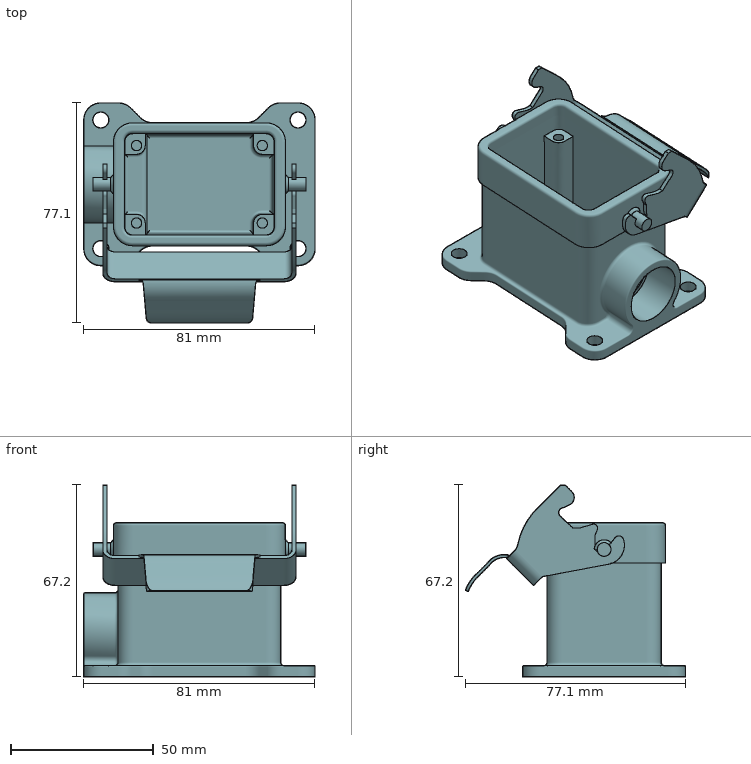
import cadquery as cq
import math

base_length = 81.0
base_width = 57.0
base_thickness = 4.0
base_corner_radius = 6.0
base_edge_radius = 0.5
waist_half_width = 21.6
ear_half_gap = 16.4
ear_curve_end = 28.4
mount_hole_x = 34.5
mount_hole_y = 22.5
mount_hole_diameter = 5.5

body_length = 57.0
body_width = 40.0
body_corner_radius = 5.1
body_foot_radius = 1.05
collar_length = 60.2
collar_width = 43.0
collar_corner_radius = 6.7
collar_bottom = 39.8
housing_top = 54.0
rim_radius = 1.1

mouth_length = 52.4
mouth_width = 35.6
mouth_corner_radius = 2.85
mouth_depth = 5.0
floor_height = 4.0
cavity_draft = 1.0
cavity_floor_radius = 1.0

post_x = 22.0
post_y = 13.55
post_top = 43.1
post_radius = 3.05
post_draft = 0.6
post_hole_diameter = 3.6
post_hole_depth = 12.0

entry_height = 16.0
entry_outer_radius = 13.5
entry_base_blend_radius = 2.0
entry_buried_end_x = -14.0
bore_radius = 10.6
bore_depth = 13.5
inner_bore_radius = 9.3
inner_bore_depth = 20.0
ledge_top = 29.5
ledge_edge_x = -18.3
ledge_edge_radius = 1.9
ledge_blend_radius = 0.9

pin_height = 44.6
pin_radius = 2.4
pin_tip_x = 37.2
pin_cone_radius = 3.4
pin_cone_length = pin_cone_radius - pin_radius

lever_half_width = 33.8
sheet_thickness = 1.5
bend_outer_radius = 4.25
bend_line_top = (-31.1, 44.4)
bar_width = 13.3
lever_top = 67.15

handle_thickness = 1.1
handle_root_half_width = 19.8
handle_tip_half_width = 18.5
handle_flare = 1.4
handle_flare_radius = 1.3
handle_flare_start_y = -33.6
handle_tip_y = -48.56
handle_corner_radius = 2.0

base_left = -base_length / 2
selection_margin = 0.01
diagonal = math.sqrt(0.5)


def rounded_block(length, width, radius, bottom, top):
    block = cq.Workplane("XY").workplane(offset=bottom).rect(length, width).extrude(top - bottom)
    return block.edges("|Z").fillet(radius)


def make_base():
    half_length = base_length / 2
    half_width = base_width / 2
    curve_run = ear_curve_end - ear_half_gap
    curve_rise = half_width - waist_half_width
    arc_radius = (curve_run - curve_rise) / (2 * (math.sqrt(2) - 1))
    arc_run = arc_radius * diagonal
    arc_rise = arc_radius * (1 - diagonal)
    line_inner = (ear_half_gap + arc_run, waist_half_width + arc_rise)
    line_outer = (ear_curve_end - arc_run, half_width - arc_rise)

    def place(point, x_sign, y_sign):
        return (x_sign * point[0], y_sign * point[1])

    outline = cq.Workplane("XY").moveTo(-half_length, -half_width)
    for sign in (-1, 1):
        outline = (
            outline
            .lineTo(*place((ear_curve_end, half_width), sign, sign))
            .radiusArc(place(line_outer, sign, sign), -arc_radius)
            .lineTo(*place(line_inner, sign, sign))
            .radiusArc(place((ear_half_gap, waist_half_width), sign, sign), arc_radius)
            .lineTo(*place((ear_half_gap, waist_half_width), -sign, sign))
            .radiusArc(place(line_inner, -sign, sign), arc_radius)
            .lineTo(*place(line_outer, -sign, sign))
            .radiusArc(place((ear_curve_end, half_width), -sign, sign), -arc_radius)
            .lineTo(*place((half_length, half_width), -sign, sign))
            .lineTo(*place((half_length, half_width), -sign, -sign))
        )
    plate = outline.close().extrude(base_thickness)
    for x_side in ("<X", ">X"):
        for y_side in ("<Y", ">Y"):
            plate = plate.edges("|Z").edges(x_side).edges(y_side).fillet(base_corner_radius)
    return plate


def make_entry():
    """Cable entry barrel with concave blends down to the base plate."""
    length = entry_buried_end_x - base_left
    barrel = cq.Workplane("YZ").workplane(offset=base_left).center(0, entry_height)
    barrel = barrel.circle(entry_outer_radius).extrude(length)

    blend_height = base_thickness + entry_base_blend_radius
    center_distance = entry_outer_radius + entry_base_blend_radius
    drop = entry_height - blend_height
    blend_y = math.sqrt(center_distance**2 - drop**2)
    touch = entry_outer_radius / center_distance
    foot_inside = base_thickness / 2
    foot = (
        cq.Workplane("YZ").workplane(offset=base_left)
        .polyline([
            (-blend_y, foot_inside),
            (blend_y, foot_inside),
            (blend_y, blend_height),
            (blend_y * touch, entry_height - drop * touch),
            (-blend_y * touch, entry_height - drop * touch),
            (-blend_y, blend_height),
        ])
        .close().extrude(length)
    )
    scoops = (
        cq.Workplane("YZ").workplane(offset=base_left)
        .pushPoints([(-blend_y, blend_height), (blend_y, blend_height)])
        .circle(entry_base_blend_radius).extrude(length)
    )
    return barrel.union(foot.cut(scoops))


def make_cavity():
    """Solid shape of the cavity, later cut from the housing."""
    draft_height = housing_top - mouth_depth - floor_height
    shrink = 2 * draft_height * math.tan(math.radians(cavity_draft))
    lower = (
        cq.Workplane("XY").workplane(offset=floor_height)
        .sketch()
        .rect(mouth_length - shrink, mouth_width - shrink)
        .vertices().fillet(mouth_corner_radius - shrink / 2)
        .finalize()
        .extrude(draft_height, taper=-cavity_draft)
    )
    upper = rounded_block(
        mouth_length, mouth_width, mouth_corner_radius, housing_top - mouth_depth, housing_top)

    post_height = post_top - floor_height
    post_growth = post_height * math.tan(math.radians(post_draft))
    foot_radius = post_radius + post_growth
    for x_sign in (-1, 1):
        for y_sign in (-1, 1):
            inner_x = x_sign * (post_x - foot_radius)
            inner_y = y_sign * (post_y - foot_radius)
            outer_x = x_sign * mouth_length
            outer_y = y_sign * mouth_width
            arc_x = x_sign * (post_x - foot_radius * diagonal)
            arc_y = y_sign * (post_y - foot_radius * diagonal)
            post = (
                cq.Workplane("XY").workplane(offset=floor_height)
                .moveTo(outer_x, inner_y)
                .lineTo(x_sign * post_x, inner_y)
                .threePointArc((arc_x, arc_y), (inner_x, y_sign * post_y))
                .lineTo(inner_x, outer_y)
                .lineTo(outer_x, outer_y)
                .close().extrude(post_height, taper=post_draft)
            )
            lower = lower.cut(post)

    ledge_length = ledge_edge_x + mouth_length
    ledge = (
        cq.Workplane("XY")
        .box(ledge_length, mouth_width * 2, ledge_top - floor_height, centered=(False, True, False))
        .translate((ledge_edge_x - ledge_length, 0, floor_height))
        .edges(">X and >Z").fillet(ledge_edge_radius)
    )
    lower = lower.cut(ledge)
    ledge_plane = cq.selectors.BoxSelector(
        (-mouth_length, -mouth_width, ledge_top - selection_margin),
        (ledge_edge_x - ledge_edge_radius - selection_margin, mouth_width, ledge_top + selection_margin),
    )
    lower = lower.edges(ledge_plane).fillet(ledge_blend_radius)
    lower = lower.faces("<Z").edges().fillet(cavity_floor_radius)
    return lower.union(upper)


def make_pins():
    """Pivot pin with a conical root on each end of the collar."""
    wall_x = collar_length / 2
    start_x = wall_x - sheet_thickness
    pin = (
        cq.Workplane("XZ")
        .polyline([
            (start_x, 0),
            (start_x, pin_cone_radius),
            (wall_x, pin_cone_radius),
            (wall_x + pin_cone_length, pin_radius),
            (pin_tip_x, pin_radius),
            (pin_tip_x, 0),
        ])
        .close().revolve(360, (0, 0, 0), (1, 0, 0))
        .translate((0, 0, pin_height))
    )
    return pin.union(pin.mirror("YZ"))


def make_lever_arms():
    """The two flat arms, hooked around the pivot pins."""
    bar_drop = bar_width * diagonal
    bend_line_bottom = (bend_line_top[0] + bar_drop, bend_line_top[1] - bar_drop)
    arm = (
        cq.Workplane("YZ").workplane(offset=lever_half_width - sheet_thickness)
        .moveTo(*bend_line_top)
        .threePointArc((-30.55, 45.4), (-30.2, 46.5))
        .threePointArc((-27.7, 53.3), (-22.9, 59.5))
        .lineTo(-15.25, lever_top)
        .lineTo(-13.6, lever_top)
        .lineTo(-11.05, 64.6)
        .threePointArc((-10.45, 62.5), (-12.3, 60.1))
        .lineTo(-14.2, 59.2)
        .threePointArc((-15.85, 57.6), (-15.4, 56.35))
        .lineTo(-10.84, 52.05)
        .lineTo(-8.7, 52.05)
        .lineTo(-4.3, 53.35)
        .threePointArc((-2.4, 52.7), (-2.45, 51.4))
        .lineTo(-3.15, 49.7)
        .lineTo(-3.15, 46.3)
        .lineTo(-3.45, 44.9)
        .lineTo(-2.2, 43.65)
        .lineTo(0, pin_height)
        .lineTo(1.75, 46.25)
        .lineTo(3.6, 48.4)
        .threePointArc((5.5, 49.3), (6.75, 48.3))
        .threePointArc((6.25, 42.8), (1.35, 39.4))
        .lineTo(-20.4, 35.3)
        .lineTo(*bend_line_bottom)
        .close().extrude(sheet_thickness)
    )
    return arm.union(arm.mirror("YZ"))


def make_lever_bar():
    """Cross bar with the bends at both ends, as a U profile swept along the bend line."""
    bend_plane = cq.Plane(
        origin=(0, bend_line_top[0], bend_line_top[1]), xDir=(1, 0, 0), normal=(0, diagonal, -diagonal))

    half_flat = lever_half_width - bend_outer_radius
    bend_inner_radius = bend_outer_radius - sheet_thickness
    outer_mid = bend_outer_radius * diagonal
    inner_mid = bend_inner_radius * diagonal
    return (
        cq.Workplane(bend_plane)
        .moveTo(-lever_half_width, 0)
        .threePointArc((-half_flat - outer_mid, outer_mid), (-half_flat, bend_outer_radius))
        .lineTo(half_flat, bend_outer_radius)
        .threePointArc((half_flat + outer_mid, outer_mid), (lever_half_width, 0))
        .lineTo(lever_half_width - sheet_thickness, 0)
        .threePointArc((half_flat + inner_mid, inner_mid), (half_flat, bend_inner_radius))
        .lineTo(-half_flat, bend_inner_radius)
        .threePointArc((-half_flat - inner_mid, inner_mid), (-lever_half_width + sheet_thickness, 0))
        .close().extrude(bar_width)
    )


def make_handle():
    """Curved tongue, trimmed to a tapered plan outline with rounded corners."""
    shift = handle_thickness * diagonal
    bow_end = (-40.9, 39.8)
    flat_end = (-44.1, 36.6)
    profile = (
        cq.Workplane("YZ").workplane(offset=base_left)
        .moveTo(-33.45, 42.7)
        .threePointArc((-35.7, 42.8), bow_end)
        .lineTo(*flat_end)
        .threePointArc((-46.9, 33.5), (handle_tip_y, 30.3))
        .lineTo(-47.51, 29.85)
        .threePointArc((-46.0, 32.8), (flat_end[0] + shift, flat_end[1] - shift))
        .lineTo(bow_end[0] + shift, bow_end[1] - shift)
        .threePointArc((-35.8, 41.7), (-33.6, 41.6))
        .close().extrude(base_length)
    )
    flare_x = handle_root_half_width + handle_flare
    plan = (
        cq.Workplane("XY")
        .moveTo(-flare_x, 0)
        .lineTo(-flare_x, handle_flare_start_y)
        .lineTo(-handle_root_half_width, handle_flare_start_y)
        .lineTo(-handle_tip_half_width, handle_tip_y)
        .lineTo(handle_tip_half_width, handle_tip_y)
        .lineTo(handle_root_half_width, handle_flare_start_y)
        .lineTo(flare_x, handle_flare_start_y)
        .lineTo(flare_x, 0)
        .close().extrude(housing_top)
        .edges("|Z and <Y").fillet(handle_corner_radius)
    )
    for x in (-handle_root_half_width, handle_root_half_width):
        inner_corner = (x, handle_flare_start_y, housing_top / 2)
        nearest = cq.selectors.NearestToPointSelector(inner_corner)
        plan = plan.edges(nearest).fillet(handle_flare_radius)
    return profile.intersect(plan)


def make_housing():
    plate = make_base().union(make_entry())
    plate = plate.faces(">X").edges(">Z").fillet(base_edge_radius)

    body = rounded_block(body_length, body_width, body_corner_radius, base_thickness / 2, housing_top)
    housing = plate.union(body)
    foot_middle = (body_length / 2, 0, base_thickness)
    housing = housing.edges(cq.selectors.NearestToPointSelector(foot_middle)).fillet(body_foot_radius)

    collar = rounded_block(
        collar_length, collar_width, collar_corner_radius, collar_bottom, housing_top)
    housing = housing.union(collar).cut(make_cavity())
    return housing.faces(">Z").edges().fillet(rim_radius)


def make_mount_holes():
    return (
        cq.Workplane("XY")
        .rect(2 * mount_hole_x, 2 * mount_hole_y, forConstruction=True)
        .vertices().circle(mount_hole_diameter / 2).extrude(base_thickness)
    )


def make_post_holes():
    return (
        cq.Workplane("XY").workplane(offset=post_top)
        .rect(2 * post_x, 2 * post_y, forConstruction=True)
        .vertices().circle(post_hole_diameter / 2).extrude(-post_hole_depth)
    )


def make_bore():
    """Stepped blind bore of the cable entry."""
    mouth = cq.Workplane("YZ").workplane(offset=base_left).center(0, entry_height)
    outer_bore = mouth.circle(bore_radius).extrude(bore_depth)
    inner_bore = mouth.circle(inner_bore_radius).extrude(inner_bore_depth)
    return outer_bore.union(inner_bore)


housing = make_housing().cut(make_mount_holes()).cut(make_post_holes()).cut(make_bore())
lever = make_lever_arms().union(make_lever_bar()).union(make_handle())
result = housing.union(make_pins()).union(lever)